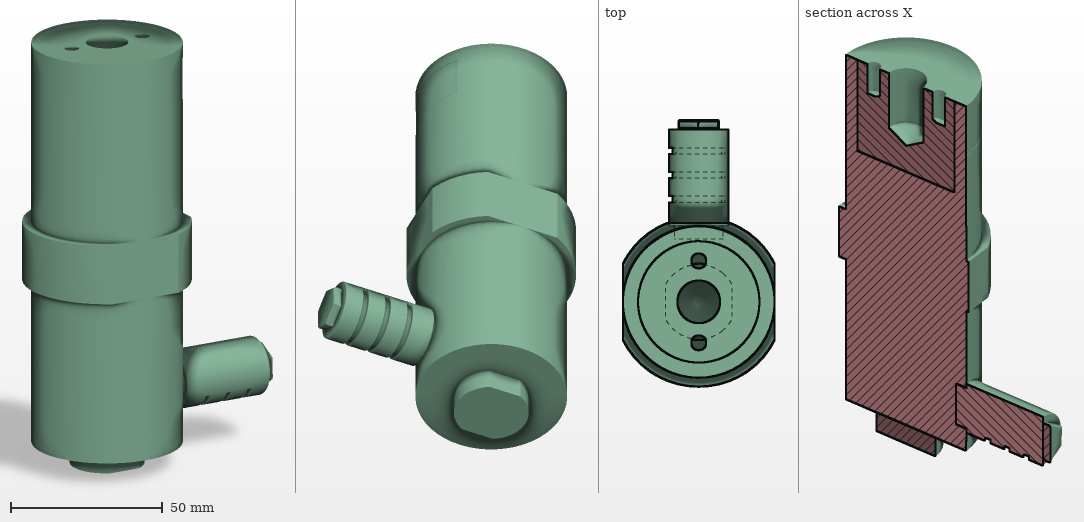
import cadquery as cq
import math

total_height = 145.0
body_diameter = 50.0
body_radius = body_diameter / 2
stub_height = 7.4
collar_radius = 28.0
collar_bottom = 63.2
collar_height = 20.2
collar_back_flat = 26.0

plate_width = 31.6
plate_height = 15.0
plate_top_gap = 5.0
plate_depth = 0.1

insert_diameter = 40.0
insert_depth = 36.2
center_hole_diameter = 14.0
center_hole_depth = 21.8
drill_half_angle = 59.0
pin_hole_diameter = 5.0
pin_hole_offset = 13.5
pin_hole_depth = 11.6
slope_radius = 12.6
slope_height = 0.9

stub_diameter = 24.6
stub_flat_width = 22.0

connector_height = 24.5
sleeve_radius = 9.9
sleeve_end = 56.8
sleeve_fillet = 0.5
neck_radius = 8.0
neck_depth = 4.4
connector_turn = 27.8
groove_count = 3
groove_first = 33.8
groove_pitch = 8.0
groove_width = 2.0
groove_depth = 1.3

nut_end = 59.9
nut_corner_radius = 7.5
nut_chamfer = 0.5

neck_start = body_radius - neck_depth
cut_margin = 1.5


def cylinder(radius, bottom, top):
    """Upright cylinder on the main axis."""
    return cq.Workplane("XY").workplane(offset=bottom).circle(radius).extrude(top - bottom)


def connector_cylinder(radius, start, end):
    """Cylinder on the connector axis, between two Y positions."""
    plane = cq.Plane(origin=(0, start, connector_height), xDir=(1, 0, 0), normal=(0, 1, 0))
    return cq.Workplane(plane).circle(radius).extrude(end - start)


def turn_connector(shape):
    """Turn a shape about the connector axis by the connector's mounting angle."""
    return shape.rotate((0, 0, connector_height), (0, 1, connector_height), connector_turn)


def make_collar():
    """Collar cut flush with the barrel at both sides and cut flat at the back."""
    collar_top = collar_bottom + collar_height
    depth = collar_radius + collar_back_flat
    flats = (
        cq.Workplane("XY")
        .workplane(offset=collar_bottom)
        .center(0, collar_back_flat - depth / 2)
        .rect(body_diameter, depth)
        .extrude(collar_height)
    )
    return cylinder(collar_radius, collar_bottom, collar_top).intersect(flats)


def make_plate_recess():
    """Shallow curved recess for the name plate."""
    skin = cylinder(body_radius + cut_margin, 0, total_height).cut(
        cylinder(body_radius - plate_depth, 0, total_height)
    )
    window = (
        cq.Workplane("XY")
        .box(plate_width, body_diameter, plate_height, centered=(True, False, False))
        .translate((0, 0, total_height - plate_top_gap - plate_height))
    )
    return skin.intersect(window)


def make_housing():
    barrel = cylinder(body_radius, stub_height, total_height).union(make_collar())
    insert_pocket = cylinder(insert_diameter / 2, total_height - insert_depth, total_height)
    neck_socket = connector_cylinder(neck_radius, neck_start, body_radius)
    return barrel.cut(insert_pocket).cut(neck_socket).cut(make_plate_recess())


def make_center_hole():
    """Blind hole with a conical drill point, as a revolved half section."""
    radius = center_hole_diameter / 2
    straight_end = total_height - center_hole_depth
    point_end = straight_end - radius / math.tan(math.radians(drill_half_angle))
    return (
        cq.Workplane("XZ")
        .moveTo(0, total_height)
        .lineTo(radius, total_height)
        .lineTo(radius, straight_end)
        .lineTo(0, point_end)
        .close()
        .revolve(360, (0, 0), (0, 1))
    )


def make_pin_holes():
    """Two blind holes whose floors rise along a cone on the side near the axis."""
    floor = total_height - pin_hole_depth
    holes = (
        cq.Workplane("XY")
        .workplane(offset=floor)
        .pushPoints([(0, pin_hole_offset), (0, -pin_hole_offset)])
        .circle(pin_hole_diameter / 2)
        .extrude(pin_hole_depth)
    )
    bank_top_radius = pin_hole_offset - pin_hole_diameter / 2
    bank = cq.Solid.makeCone(slope_radius, bank_top_radius, slope_height, cq.Vector(0, 0, floor))
    return holes.cut(cq.Workplane(bank))


def make_insert():
    disc = cylinder(insert_diameter / 2, total_height - insert_depth, total_height)
    return disc.cut(make_center_hole()).cut(make_pin_holes())


def make_stub():
    """Round stub with a flat on each side."""
    flats = cq.Workplane("XY").rect(stub_flat_width, stub_diameter).extrude(stub_height)
    return cylinder(stub_diameter / 2, 0, stub_height).intersect(flats)


def make_grooves():
    """Half-round grip grooves over the lower half of the sleeve."""
    half_size = sleeve_radius + cut_margin
    lower_half = turn_connector(
        cq.Workplane("XY")
        .box(2 * half_size, sleeve_end, half_size, centered=(True, False, False))
        .translate((0, 0, connector_height - half_size))
    )
    grooves = cq.Workplane("XY")
    for index in range(groove_count):
        start = groove_first + index * groove_pitch - groove_width / 2
        end = start + groove_width
        ring = connector_cylinder(sleeve_radius + cut_margin, start, end).cut(
            connector_cylinder(sleeve_radius - groove_depth, start, end)
        )
        grooves = grooves.union(ring)
    return grooves.intersect(lower_half)


def make_connector():
    sleeve = connector_cylinder(sleeve_radius, body_radius, sleeve_end)
    sleeve = sleeve.edges("%CIRCLE").fillet(sleeve_fillet)
    neck = connector_cylinder(neck_radius, neck_start, body_radius)
    return sleeve.union(neck).cut(make_grooves())


def make_nut():
    """Hexagonal nut with the edges of both end faces chamfered."""
    plane = cq.Plane(origin=(0, sleeve_end, connector_height), xDir=(1, 0, 0), normal=(0, 1, 0))
    hexagon = cq.Workplane(plane).polygon(6, 2 * nut_corner_radius).extrude(nut_end - sleeve_end)
    return turn_connector(hexagon.faces("<Y or >Y").chamfer(nut_chamfer))


housing = make_housing()
insert = make_insert()
stub = make_stub()
connector = make_connector()
nut = make_nut()

result = cq.Compound.makeCompound(
    [housing.val(), insert.val(), stub.val(), connector.val(), nut.val()]
)